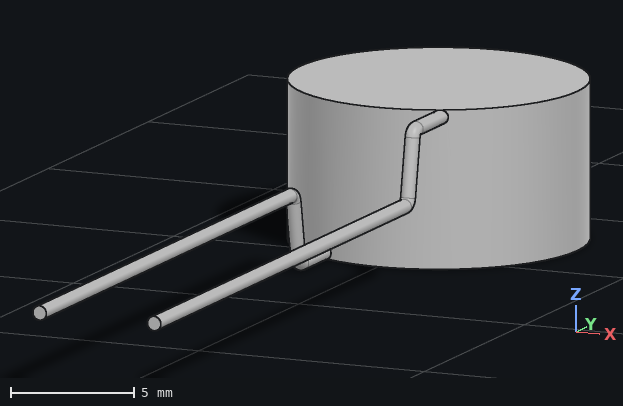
import cadquery as cq
import math

body_diameter = 12.3
body_height = 6.6
body_radius = body_diameter / 2

overall_length = 40.3
wire_diameter = 0.6
lead_spacing = 5.08
bend_radius = 0.35
first_bend_gap = 2.15
bend_step = 0.55
root_depth = 1.2

lead_x = lead_spacing / 2
lead_height = (body_height - wire_diameter) / 2
root_y = -math.sqrt(body_radius**2 - lead_x**2) + root_depth
first_corner_y = -body_radius - first_bend_gap
second_corner_y = first_corner_y - bend_step
tip_y = body_radius - overall_length


def make_lead(x, z):
    """Wire leaving the body at height z and bent to run out at mid-height."""
    side = math.copysign(1, z)
    slope_angle = math.atan2(abs(z), bend_step)
    tangent_length = bend_radius * math.tan(slope_angle / 2)
    slope_y = tangent_length * math.cos(slope_angle)
    slope_z = side * tangent_length * math.sin(slope_angle)

    path = (
        cq.Workplane("YZ", origin=(x, 0, 0))
        .moveTo(root_y, z)
        .lineTo(first_corner_y + tangent_length, z)
        .tangentArcPoint((first_corner_y - slope_y, z - slope_z), relative=False)
        .lineTo(second_corner_y + slope_y, slope_z)
        .tangentArcPoint((second_corner_y - tangent_length, 0), relative=False)
        .lineTo(tip_y, 0)
    )
    return cq.Workplane("XZ", origin=(x, root_y, z)).circle(wire_diameter / 2).sweep(path)


body = cq.Workplane("XY").circle(body_radius).extrude(body_height / 2, both=True)
lower_lead = make_lead(-lead_x, -lead_height)
upper_lead = make_lead(lead_x, lead_height)

result = body.union(lower_lead).union(upper_lead)